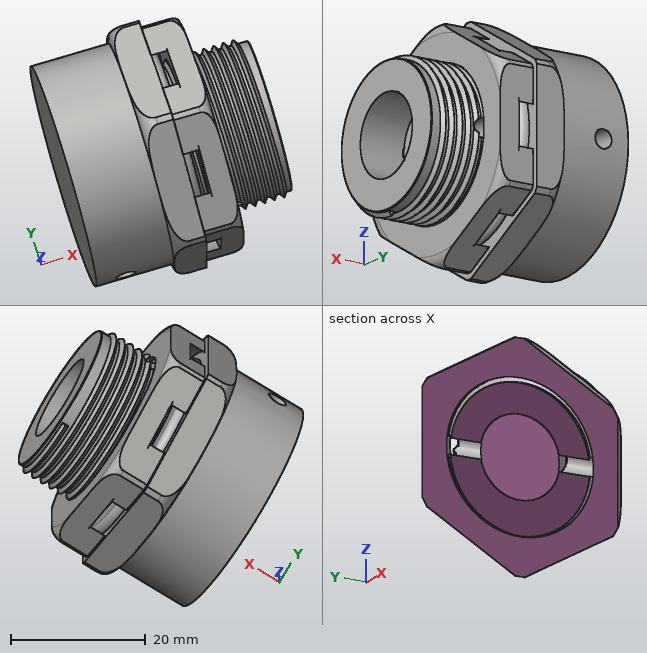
import cadquery as cq
import math


cap_hex_start = 12.0
nut_start = 16.95
disc_end = 18.3
cavity_end = 19.55
nut_end = 23.0
plug_end = 24.05
pipe_end = 32.0

cap_diameter = 34.15
cap_across_flats = 34.9
cap_corner_diameter = 39.7
cap_edge_round = 2.5
cap_hole_x = 4.55

nut_across_flats = 33.05
nut_corner_diameter = 37.65
nut_edge_round = 1.85
cavity_diameter = 33.75

root_diameter = 23.2
crest_diameter = 24.6
bore_diameter = 13.3
pipe_end_chamfer = 0.1
pipe_hole_x = 22.8
thread_pitch = 1.5
thread_turns = 9
thread_end = 31.0
thread_base_width = 1.2
thread_embed = 0.1
nut_clearance = 0.08

disc_diameter = 30.95
disc_edge_round = 1.3

cross_hole_diameter = 3.0


def cylinder_x(start, end, diameter):
    """Cylinder on the X axis between two positions."""
    return cq.Workplane("YZ", origin=(start, 0, 0)).circle(diameter / 2).extrude(end - start)


def hexagon_x(start, end, across_flats):
    """Hexagonal prism on the X axis, with corners on the Z axis."""
    corner_diameter = across_flats / math.cos(math.pi / 6)
    prism = cq.Workplane("YZ", origin=(start, 0, 0)).polygon(6, corner_diameter).extrude(end - start)
    return prism.rotate((0, 0, 0), (1, 0, 0), 90)


def cross_hole(x):
    """Cutter for a round hole along Y, right through the part."""
    length = cap_corner_diameter
    return cq.Workplane("XZ").center(x, 0).circle(cross_hole_diameter / 2).extrude(length / 2, both=True)


def make_cap():
    flange = hexagon_x(cap_hex_start, nut_start, cap_across_flats)
    envelope = cylinder_x(cap_hex_start, nut_start, cap_corner_diameter)
    flange = flange.intersect(envelope.faces("<X").edges().fillet(cap_edge_round))
    head = cylinder_x(0, cap_hex_start, cap_diameter)
    return head.union(flange).cut(cross_hole(cap_hole_x))


def make_nut():
    envelope = cylinder_x(nut_start, nut_end, nut_corner_diameter)
    envelope = envelope.faces(">X").edges().fillet(nut_edge_round)
    nut = hexagon_x(nut_start, nut_end, nut_across_flats).intersect(envelope)
    nut = nut.cut(cylinder_x(nut_start, cavity_end, cavity_diameter))
    return nut.cut(cylinder_x(cavity_end, nut_end, crest_diameter + nut_clearance))


def make_thread():
    """Right-handed triangular ridge, cut off where the pipe meets the plug disc."""
    inner_radius = root_diameter / 2 - thread_embed
    crest_radius = crest_diameter / 2
    half_width = thread_base_width / 2
    length = thread_pitch * thread_turns
    helix = cq.Wire.makeHelix(thread_pitch, length, inner_radius)
    profile = cq.Workplane("XZ").polyline(
        [(inner_radius, -half_width), (crest_radius, 0), (inner_radius, half_width)]
    ).close()
    ridge = profile.sweep(cq.Workplane(obj=helix), isFrenet=True)
    ridge = ridge.rotate((0, 0, 0), (0, 1, 0), 90).translate((thread_end - length, 0, 0))
    return ridge.intersect(cylinder_x(disc_end, pipe_end, cavity_diameter))


def make_pipe():
    pipe = cylinder_x(disc_end, pipe_end, root_diameter)
    pipe = pipe.faces(">X").edges().chamfer(pipe_end_chamfer)
    pipe = pipe.union(make_thread())
    pipe = pipe.cut(cylinder_x(disc_end, pipe_end, bore_diameter))
    return pipe.cut(cross_hole(pipe_hole_x))


def make_plug():
    disc = cylinder_x(nut_start, disc_end, disc_diameter)
    disc = disc.faces(">X").edges().fillet(disc_edge_round)
    return disc.union(cylinder_x(disc_end, plug_end, bore_diameter))


cap = make_cap().solids()
nut = make_nut().solids()
pipe = make_pipe().solids()
plug = make_plug().solids()

result = cq.Compound.makeCompound([cap.val(), nut.val(), pipe.val(), plug.val()])